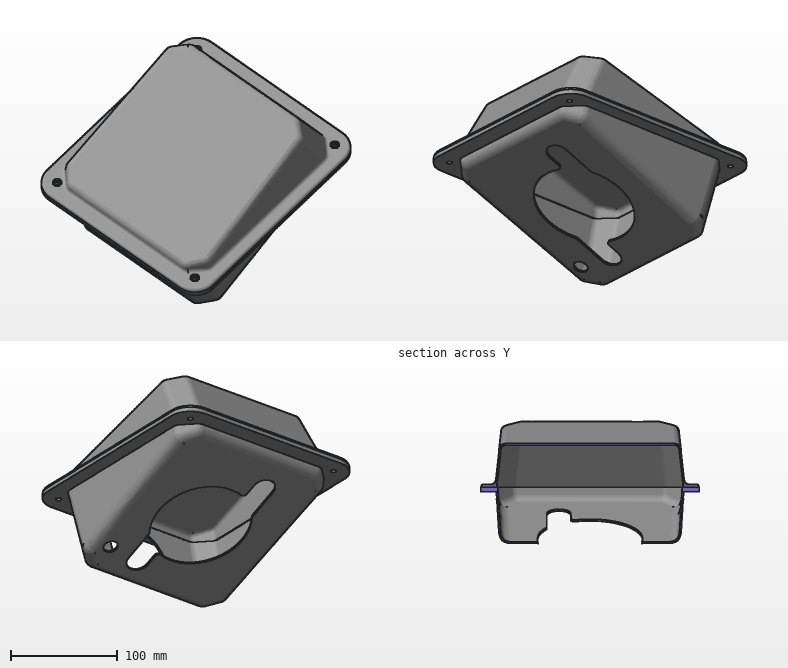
import cadquery as cq
import math

FLANGE_WIDTH = 205.0
FLANGE_LENGTH = 235.0
FLANGE_CORNER_RADIUS = 22.0
FLANGE_EDGE_RADIUS = 3.0
FLANGE_TOP = 7.5
JOINT_HEIGHT = FLANGE_TOP - FLANGE_EDGE_RADIUS

SCREW_SPACING_X = 169.7
SCREW_SPACING_Y = 202.0
COVER_HOLE_DIAMETER = 8.2
BOX_HOLE_DIAMETER = 5.2

WALL = 2.0
CORNER_CHAMFER = 16.5
CORNER_RADIUS = 8.2
ROOT_RADIUS = 3.0

BOX_HALF_WIDTH = 88.1
BOX_HALF_LENGTH = 99.5
BOX_SIDE_DRAFT = 3.5
BOX_FRONT_DRAFT = 14.4
BOX_BACK_DRAFT = 3.5
FLOOR_ANGLE = 21.75
FLOOR_HEIGHT = -48.6
FLOOR_RADIUS = 10.0

COVER_HALF_WIDTH = 89.0
COVER_HALF_LENGTH = 101.8
COVER_SIDE_DRAFT = 6.4
COVER_FRONT_DRAFT = 3.5
COVER_BACK_DRAFT = 28.2
ROOF_ANGLE = 17.25
ROOF_HEIGHT = 45.5
ROOF_RADIUS = 5.9

FRONT_OPENING_DIAMETER = 64.9
FRONT_OPENING_HEIGHT = -34.8

FLOOR_OPENING_Y = 7.5
FLOOR_OPENING_RADIUS = 49.4
LOBE_OFFSET_X = 29.1
LOBE_OFFSET_Y = 63.0
LOBE_RADIUS = 11.3
LOBE_BLEND_RADIUS = 3.5
SIDE_HOLE_X = 65.3
SIDE_HOLE_Y = -58.0
SIDE_HOLE_RADIUS = 7.0

REACH = 105.8
BLOCK = 470.0


def tangent(degrees):
    return math.tan(math.radians(degrees))


def cosine(degrees):
    return math.cos(math.radians(degrees))


def octagon(z, half_width, front, back, chamfer):
    """A rectangle with its four corners cut at 45 degrees, at height z."""
    points = [
        (half_width - chamfer, front),
        (half_width, front + chamfer),
        (half_width, back - chamfer),
        (half_width - chamfer, back),
        (chamfer - half_width, back),
        (-half_width, back - chamfer),
        (-half_width, front + chamfer),
        (chamfer - half_width, front),
    ]
    return cq.Wire.makePolygon([cq.Vector(x, y, z) for x, y in points], close=True)


def drafted_block(start, end, base, half_width, half_length, drafts, inset):
    """An octagonal block that narrows away from the height `base` by the side, front and back drafts."""
    side, front, back = drafts
    chamfer = CORNER_CHAMFER - inset * (2 - math.sqrt(2))
    direction = math.copysign(1, end - start)

    def section(z):
        rise = (z - base) * direction
        return octagon(
            z,
            half_width - inset - rise * tangent(side),
            inset - half_length + rise * tangent(front),
            half_length - inset - rise * tangent(back),
            chamfer,
        )

    return cq.Workplane(cq.Solid.makeLoft([section(start), section(end)], True))


def sloping_block(height, angle, above):
    """A large block above or below a plane that crosses the Z axis at `height`, tilted about X."""
    block = cq.Workplane("XY").box(BLOCK, BLOCK, BLOCK)
    block = block.translate((0, 0, BLOCK / 2 if above else -BLOCK / 2))
    return block.rotate((0, 0, 0), (1, 0, 0), angle).translate((0, 0, height))


def round_corners(body, start, radius):
    """Round the edges that rise or fall from the level `start`."""
    rising = [
        edge
        for edge in body.edges("not #Z").vals()
        if min(abs(v.Z - start) for v in edge.Vertices()) < 0.002
    ]
    return body.newObject(rising).fillet(radius)


def box_form(start, inset):
    drafts = (BOX_SIDE_DRAFT, BOX_FRONT_DRAFT, BOX_BACK_DRAFT)
    form = drafted_block(start, -REACH, 0, BOX_HALF_WIDTH, BOX_HALF_LENGTH, drafts, inset)
    floor = FLOOR_HEIGHT + inset / cosine(FLOOR_ANGLE)
    form = form.cut(sloping_block(floor, FLOOR_ANGLE, above=False))
    form = form.faces("<Z").edges().fillet(FLOOR_RADIUS - inset)
    return round_corners(form, start, CORNER_RADIUS - inset)


def cover_form(start, inset):
    drafts = (COVER_SIDE_DRAFT, COVER_FRONT_DRAFT, COVER_BACK_DRAFT)
    form = drafted_block(start, REACH, FLANGE_TOP, COVER_HALF_WIDTH, COVER_HALF_LENGTH, drafts, inset)
    roof = ROOF_HEIGHT - inset / cosine(ROOF_ANGLE)
    form = form.cut(sloping_block(roof, ROOF_ANGLE, above=True))
    form = round_corners(form, start, CORNER_RADIUS - inset)
    return form.faces(">Z").edges().fillet(ROOF_RADIUS - inset)


def flange_plate(bottom, top):
    plate = cq.Workplane("XY").workplane(offset=bottom)
    plate = plate.rect(FLANGE_WIDTH, FLANGE_LENGTH).extrude(top - bottom)
    return plate.edges("|Z").fillet(FLANGE_CORNER_RADIUS)


def screw_holes(diameter):
    holes = cq.Workplane("XY").rect(SCREW_SPACING_X, SCREW_SPACING_Y, forConstruction=True)
    return holes.vertices().circle(diameter / 2).extrude(FLANGE_TOP)


def front_opening():
    """A cylinder square to the drafted front wall."""
    cutter = cq.Workplane("XZ").circle(FRONT_OPENING_DIAMETER / 2).extrude(REACH / 4, both=True)
    cutter = cutter.rotate((0, 0, 0), (1, 0, 0), BOX_FRONT_DRAFT)
    y = -BOX_HALF_LENGTH - FRONT_OPENING_HEIGHT * tangent(BOX_FRONT_DRAFT)
    return cutter.translate((0, y, FRONT_OPENING_HEIGHT))


def floor_opening():
    """A large circle with two opposite round-ended lobes, and one small hole beside it."""
    depth = 4 * WALL
    cutter = cq.Workplane("XY").circle(FLOOR_OPENING_RADIUS).extrude(depth, both=True)
    for side in (-1, 1):
        lobe = cq.Workplane("XY").center(side * LOBE_OFFSET_X, -side * LOBE_OFFSET_Y / 2)
        lobe = lobe.slot2D(LOBE_OFFSET_Y + 2 * LOBE_RADIUS, 2 * LOBE_RADIUS, 90).extrude(depth, both=True)
        cutter = cutter.union(lobe)
    cutter = cutter.edges(
        cq.selectors.BoxSelector((-BLOCK, -LOBE_OFFSET_Y + 0.2, -0.2), (BLOCK, LOBE_OFFSET_Y - 0.2, 0.2))
    ).edges("|Z").fillet(LOBE_BLEND_RADIUS)
    hole = cq.Workplane("XY").center(SIDE_HOLE_X, SIDE_HOLE_Y).circle(SIDE_HOLE_RADIUS).extrude(depth, both=True)
    cutter = cutter.union(hole).rotate((0, 0, 0), (1, 0, 0), FLOOR_ANGLE)
    height = FLOOR_HEIGHT + FLOOR_OPENING_Y * tangent(FLOOR_ANGLE)
    return cutter.translate((0, FLOOR_OPENING_Y, height))


def make_box():
    box = flange_plate(0, JOINT_HEIGHT)
    box = box.union(box_form(JOINT_HEIGHT / 2, 0))
    box = box.cut(box_form(JOINT_HEIGHT, WALL))
    box = box.cut(screw_holes(BOX_HOLE_DIAMETER))
    return box.cut(front_opening()).cut(floor_opening())


def make_cover():
    cover = flange_plate(0, FLANGE_TOP).faces(">Z").edges().fillet(FLANGE_EDGE_RADIUS)
    cover = cover.cut(sloping_block(JOINT_HEIGHT, 0, above=False))
    cover = cover.union(cover_form((JOINT_HEIGHT + FLANGE_TOP) / 2, 0))
    root = cq.selectors.BoxSelector(
        (-COVER_HALF_WIDTH - 2.4, -COVER_HALF_LENGTH - 2.4, FLANGE_TOP - 0.2),
        (COVER_HALF_WIDTH + 2.4, COVER_HALF_LENGTH + 2.4, FLANGE_TOP + 0.2),
    )
    cover = cover.edges(root).fillet(ROOT_RADIUS)
    cover = cover.cut(cover_form(JOINT_HEIGHT, WALL))
    return cover.cut(screw_holes(COVER_HOLE_DIAMETER))


box = make_box()
cover = make_cover()
result = cq.Compound.makeCompound([box.val(), cover.val()])